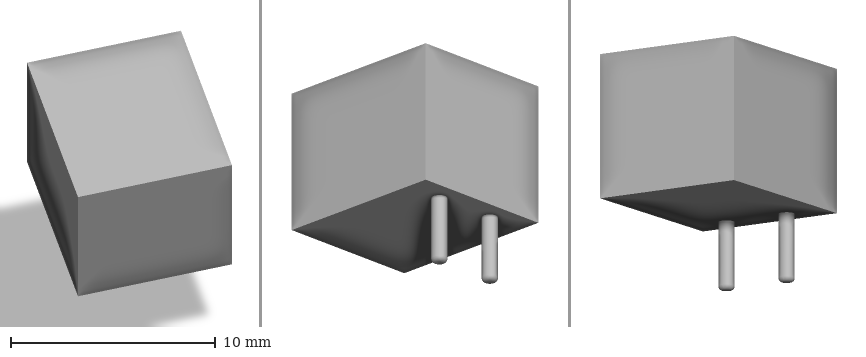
import cadquery as cq

total_height = 10.6
body_length = 9.2
body_width = 7.8
pin_length = 3.4
body_height = total_height - pin_length

pin_diameter = 0.8
pin_spacing = 3.5
pin_edge_offset = 1.2
pin_tip_radius = 0.2

pin_x = pin_edge_offset - body_length / 2


def make_housing():
    """Plain block standing on the plane Z = 0, centred in X and Y."""
    return cq.Workplane("XY").box(body_length, body_width, body_height, centered=(True, True, False))


def make_pin(y):
    """Round pin hanging from the underside of the housing, with a rounded tip."""
    return (
        cq.Workplane("XY")
        .center(pin_x, y)
        .circle(pin_diameter / 2)
        .extrude(-pin_length)
        .faces("<Z")
        .edges()
        .fillet(pin_tip_radius)
    )


housing = make_housing()
pins = [make_pin(side * pin_spacing / 2) for side in (-1, 1)]

result = cq.Compound.makeCompound([housing.val(), *[pin.val() for pin in pins]])